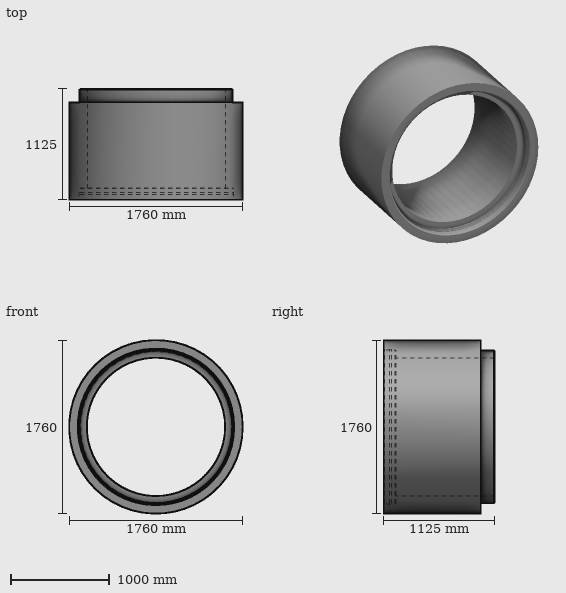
import cadquery as cq

outer_diameter = 1760.0
bore_diameter = 1400.0
total_length = 1125.0

spigot_diameter = 1552.0
spigot_length = 137.0
spigot_chamfer = 10.0

socket_mouth_diameter = 1588.0
socket_diameter = 1563.0
socket_floor_diameter = 1544.0
socket_depth = 125.0
socket_chamfer_length = 9.0

groove_depth = 4.0
groove_width = 21.0
groove_start = 58.0

outer_radius = outer_diameter / 2
bore_radius = bore_diameter / 2
spigot_radius = spigot_diameter / 2
socket_radius = socket_diameter / 2
mouth_y = -total_length / 2
spigot_end_y = total_length / 2
shoulder_y = spigot_end_y - spigot_length
socket_floor_y = mouth_y + socket_depth


def revolve_about_y(points):
    """Turn a closed (radius, y) outline once around the Y axis."""
    return cq.Workplane("XY").polyline(points).close().revolve(360, (0, 0, 0), (0, 1, 0))


def pipe_body():
    """Tube with a stepped-down, chamfered spigot."""
    return revolve_about_y([
        (bore_radius, mouth_y),
        (outer_radius, mouth_y),
        (outer_radius, shoulder_y),
        (spigot_radius, shoulder_y),
        (spigot_radius, spigot_end_y - spigot_chamfer),
        (spigot_radius - spigot_chamfer, spigot_end_y),
        (bore_radius, spigot_end_y),
    ])


def socket_recess():
    """Recess that receives a spigot, tapered at its mouth and at its floor."""
    return revolve_about_y([
        (0, mouth_y),
        (socket_mouth_diameter / 2, mouth_y),
        (socket_radius, mouth_y + socket_chamfer_length),
        (socket_radius, socket_floor_y - socket_chamfer_length),
        (socket_floor_diameter / 2, socket_floor_y),
        (0, socket_floor_y),
    ])


def seal_groove():
    """Ring cut into the socket wall, starting inside the recess."""
    near_y = mouth_y + groove_start
    far_y = near_y + groove_width
    groove_radius = socket_radius + groove_depth
    return revolve_about_y([
        (bore_radius, near_y),
        (groove_radius, near_y),
        (groove_radius, far_y),
        (bore_radius, far_y),
    ])


result = pipe_body().cut(socket_recess()).cut(seal_groove())